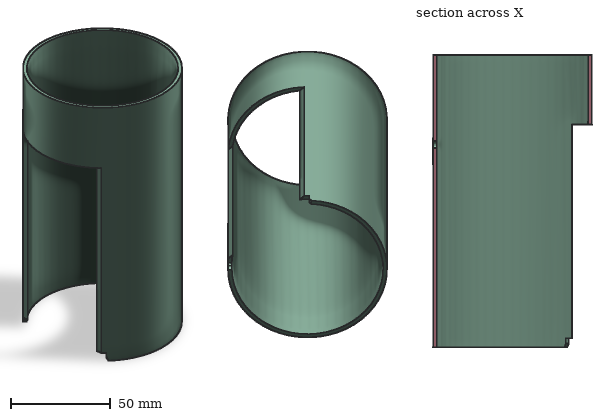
import cadquery as cq
import math

outer_radius = 40.0
wall = 2.0
height = 147.0
inner_radius = outer_radius - wall

top_band = 35.0
window_plane_y = -30.0
window_top = height - top_band

notch_height = 4.6
notch_half_angle = math.radians(45.0)

lead_in_height = 2.0
lead_in_angle = math.radians(30.0)
lead_in_depth = lead_in_height * math.tan(lead_in_angle)

hole_diameter = 3.4
hole_below_window_top = 10.0
hole_z = window_top - hole_below_window_top

clearance = 5.0
cut_reach = outer_radius + clearance


def make_tube():
    return cq.Workplane("XY").circle(outer_radius).circle(inner_radius).extrude(height)


def make_window():
    """Block filling the space in front of the window plane."""
    depth = cut_reach + window_plane_y
    block = cq.Workplane("XY").box(2 * cut_reach, depth, window_top, centered=(True, False, False))
    return block.translate((0, -cut_reach, 0))


def make_notches():
    """Wedge between the two radial notch faces, opening towards -Y."""
    wedge_side = 2 * outer_radius
    half_width = wedge_side * math.sin(notch_half_angle)
    front_y = -wedge_side * math.cos(notch_half_angle)
    return (
        cq.Workplane("XY")
        .polyline([(0, 0), (half_width, front_y), (-half_width, front_y)])
        .close()
        .extrude(notch_height)
    )


def make_lead_in(side):
    """Triangular prism along one radial notch face; side is +1 for +X, -1 for -X."""
    radial = (side * math.sin(notch_half_angle), -math.cos(notch_half_angle), 0)
    into_wall = (side * math.cos(notch_half_angle), math.sin(notch_half_angle), 0)
    plane = cq.Plane(origin=(0, 0, 0), xDir=into_wall, normal=radial)
    apex_y = plane.yDir.z * lead_in_height
    return (
        cq.Workplane(plane)
        .polyline([(0, 0), (lead_in_depth, 0), (0, apex_y)])
        .close()
        .extrude(cut_reach)
    )


def make_back_hole():
    """Cylinder from the axis out through the +Y wall."""
    return (
        cq.Workplane("XZ", origin=(0, 0, hole_z))
        .circle(hole_diameter / 2)
        .extrude(-cut_reach)
    )


result = make_tube().cut(make_window()).cut(make_notches()).cut(make_back_hole())
for notch_side in (-1, 1):
    result = result.cut(make_lead_in(notch_side))